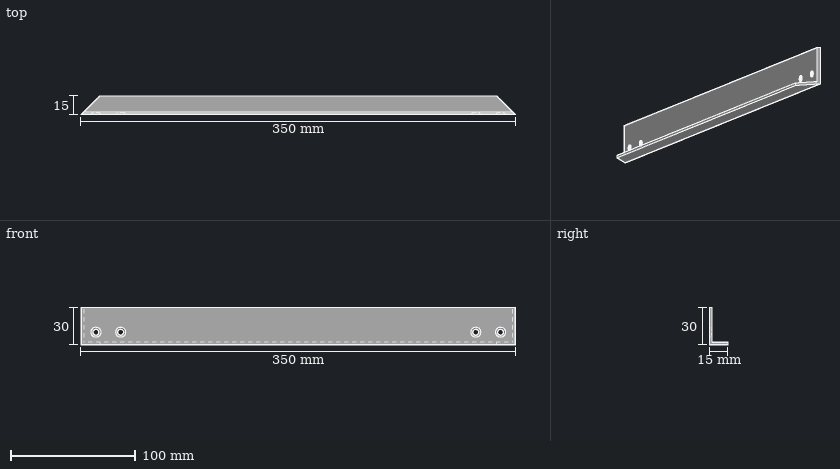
import cadquery as cq

length = 350.0
depth = 15.0
height = 30.0
thickness = 2.0

hole_diameter = 4.5
countersink_diameter = 8.0
countersink_angle = 90.0
end_to_hole = 12.0
hole_spacing = 20.0
hole_height = 10.0


def angle_strip():
    """L-shaped section with its outer corner at Y = 0, Z = 0, run along X."""
    return (
        cq.Workplane("YZ")
        .polyline([
            (0, 0),
            (depth, 0),
            (depth, thickness),
            (thickness, thickness),
            (thickness, height),
            (0, height),
        ])
        .close()
        .extrude(length / 2, both=True)
    )


def mitred_envelope():
    """Trapezoid whose 45 degree ends narrow the strip toward its back."""
    front_x = length / 2
    back_x = front_x - depth
    return (
        cq.Workplane("XY")
        .polyline([(-front_x, 0), (front_x, 0), (back_x, depth), (-back_x, depth)])
        .close()
        .extrude(height)
    )


def drill_screw_holes(strip):
    """Countersink the holes from the front face, through the tall plate only."""
    outer_x = length / 2 - end_to_hole
    inner_x = outer_x - hole_spacing
    hole_positions = [(x, hole_height) for x in (-outer_x, -inner_x, inner_x, outer_x)]
    return (
        strip.faces("<Y")
        .workplane(origin=(0, 0, 0))
        .pushPoints(hole_positions)
        .cskHole(hole_diameter, countersink_diameter, countersink_angle, depth=thickness)
    )


result = drill_screw_holes(angle_strip().intersect(mitred_envelope()))